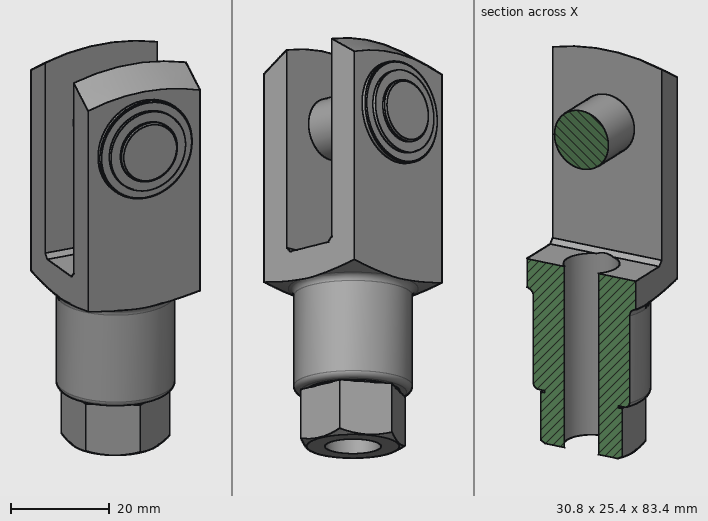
import cadquery as cq
import math

total_height = 83.4
head_width = 25.4
slot_width = 12.7
slot_floor_z = 39.3
slot_corner_chamfer = 1.0
bore_diameter = 11.3

hex_across_flats = 19.0
hex_height = 11.1
hex_chamfer_angle = 30.0
hex_end_radius = 9.3

neck_height = 0.3
shank_radius = 12.0
shank_edge_fillet = 1.25

shoulder_fillet_start_z = 31.5
shoulder_fillet_radius = 1.5
shoulder_cone_angle = 15.0

tip_slope_angle = 30.0
tip_crown_radius = 46.4

pin_z = 67.4
pin_radius = 12.7 / 2
pin_length = 30.8
pin_end_chamfer = 0.3
washer_radius = 20.9 / 2
washer_thickness = 1.1
washer_chamfer = 0.25
collar_radius = 16.9 / 2
collar_thickness = 0.75

half_head = head_width / 2
half_slot = slot_width / 2
shank_base_z = hex_height + neck_height
hex_corner_radius = hex_across_flats / math.sqrt(3)
head_corner_radius = half_head * math.sqrt(2)


def make_hexagon():
    """Hexagonal prism with a conical chamfer at its lower end."""
    prism = cq.Workplane("XY").polygon(6, 2 * hex_corner_radius).extrude(hex_height)
    chamfer_rise = (hex_corner_radius - hex_end_radius) * math.tan(math.radians(hex_chamfer_angle))
    envelope = (
        cq.Workplane("XZ")
        .moveTo(0, 0)
        .lineTo(hex_end_radius, 0)
        .lineTo(hex_corner_radius, chamfer_rise)
        .lineTo(hex_corner_radius, hex_height)
        .lineTo(0, hex_height)
        .close()
        .revolve(360, (0, 0, 0), (0, 1, 0))
    )
    return prism.intersect(envelope)


def make_neck():
    """Thin round disc between the hexagon and the shank."""
    return cq.Workplane("XY").workplane(offset=hex_height).circle(hex_across_flats / 2).extrude(neck_height)


def make_shank_and_head():
    """Turned shank and shoulder, trimmed to the square of the head."""
    slope = math.radians(shoulder_cone_angle)
    turn = math.pi / 2 - slope
    arc_center_r = shank_radius + shoulder_fillet_radius

    def fillet_point(angle):
        return (
            arc_center_r - shoulder_fillet_radius * math.cos(angle),
            shoulder_fillet_start_z + shoulder_fillet_radius * math.sin(angle),
        )

    fillet_end_r, fillet_end_z = fillet_point(turn)
    rim_z = fillet_end_z + (head_corner_radius - fillet_end_r) * math.tan(slope)
    edge_arc_offset = shank_edge_fillet * (1 - math.sqrt(0.5))
    turned = (
        cq.Workplane("XZ")
        .moveTo(0, shank_base_z)
        .lineTo(shank_radius - shank_edge_fillet, shank_base_z)
        .threePointArc(
            (shank_radius - edge_arc_offset, shank_base_z + edge_arc_offset),
            (shank_radius, shank_base_z + shank_edge_fillet),
        )
        .lineTo(shank_radius, shoulder_fillet_start_z)
        .threePointArc(fillet_point(turn / 2), (fillet_end_r, fillet_end_z))
        .lineTo(head_corner_radius, rim_z)
        .lineTo(head_corner_radius, total_height)
        .lineTo(0, total_height)
        .close()
        .revolve(360, (0, 0, 0), (0, 1, 0))
    )
    square = cq.Workplane("XY").rect(head_width, head_width).extrude(total_height)
    return turned.intersect(square)


def make_tip_envelope():
    """Crowned body about an X axis: cylindrical between the prongs, conical over each of them."""
    axis_z = total_height - tip_crown_radius
    outer_z = total_height - (half_head - half_slot) * math.tan(math.radians(tip_slope_angle))
    return (
        cq.Workplane("XZ")
        .moveTo(-half_head, axis_z)
        .lineTo(-half_head, outer_z)
        .lineTo(-half_slot, total_height)
        .lineTo(half_slot, total_height)
        .lineTo(half_head, outer_z)
        .lineTo(half_head, axis_z)
        .close()
        .revolve(360, (0, axis_z, 0), (1, axis_z, 0))
    )


def make_slot():
    """Fork slot through Y, open at the top, with chamfered floor corners."""
    slot_depth = total_height - slot_floor_z
    return (
        cq.Workplane("XY")
        .workplane(offset=slot_floor_z)
        .rect(slot_width, head_width)
        .extrude(slot_depth)
        .edges("|Y and <Z")
        .chamfer(slot_corner_chamfer)
    )


def make_clevis():
    head = make_shank_and_head().intersect(make_tip_envelope())
    bore = cq.Workplane("XY").circle(bore_diameter / 2).extrude(total_height)
    pin_hole = (
        cq.Workplane("YZ")
        .center(0, pin_z)
        .circle(pin_radius)
        .extrude(half_head, both=True)
    )
    body = head.union(make_neck()).union(make_hexagon())
    return body.cut(make_slot()).cut(bore).cut(pin_hole)


def make_disc(start_x, radius, thickness):
    """Disc centred on the pin axis, from start_x towards +X."""
    return cq.Workplane("YZ", origin=(start_x, 0, pin_z)).circle(radius).extrude(thickness)


def make_pin():
    """Chamfered pin with a washer and a smaller collar against each side of the fork."""
    pin = make_disc(-pin_length / 2, pin_radius, pin_length).faces("<X or >X").chamfer(pin_end_chamfer)
    washer = make_disc(half_head, washer_radius, washer_thickness).faces(">X").chamfer(washer_chamfer)
    collar = make_disc(half_head + washer_thickness, collar_radius, collar_thickness)
    for retainer in (washer, collar):
        pin = pin.union(retainer).union(retainer.mirror("YZ"))
    return pin


clevis = make_clevis()
pin = make_pin()

result = cq.Compound.makeCompound([clevis.val(), pin.val()])